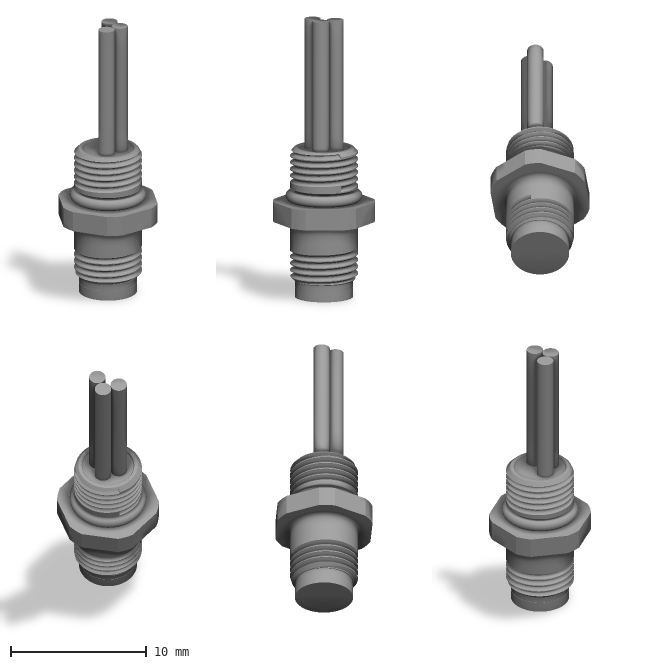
import math

import cadquery as cq

FLANGE_THICKNESS = 1.5
BODY_TOP = 5.53
PLUG_BOTTOM = -5.70
WIRE_TOP = 15.17
THREAD_BOTTOM = -4.45
PLUG_RING_TOP = -4.95
UPPER_THREAD_BOTTOM = 2.52

FLANGE_SIDES = 6
FLANGE_ACROSS_FLATS = 7.0
FLANGE_ROUND_DIAMETER = 7.5
FLANGE_FILLET = 0.25

BODY_RADIUS = 5.0 / 2
PLUG_NECK_RADIUS = 4.25 / 2
PLUG_RING_RADIUS = 4.3 / 2
SEAL_GROOVE_RADIUS = 4.3 / 2
SEAL_GROOVE_FLANK_ANGLE = 30.0

SEAL_SECTION_RADIUS = 0.4
SEAL_OUTER_RADIUS = 5.64 / 2

THREAD_PITCH = 0.5
THREAD_TURNS = 5
THREAD_DEPTH = 0.315
THREAD_ROOT_FLAT = 0.07
THREAD_FLANK_ANGLE = 30.0
THREAD_OVERCUT = 0.1
UPPER_GROOVE_START = 2.815
UPPER_GROOVE_ANGLE = 90.0
LOWER_GROOVE_START = -4.70
LOWER_GROOVE_ANGLE = 142.5

RECESS_TOP_RADIUS = 3.88 / 2
RECESS_FLOOR_RADIUS = 3.75 / 2
RECESS_DEPTH = 0.1

WIRE_DIAMETER = 1.2
WIRE_OFFSET = 0.615
WIRE_ROOT = 0.2
WIRE_CORNERS = [(-1, 1), (1, 1), (1, -1)]


def make_body():
    """Revolved profile: plug end, lower shank, seal groove and upper shank."""
    root_radius = BODY_RADIUS - THREAD_DEPTH
    fillet_radius = BODY_RADIUS + FLANGE_FILLET
    fillet_mid = FLANGE_FILLET * (1 - math.sqrt(0.5))
    flank_drop = (BODY_RADIUS - SEAL_GROOVE_RADIUS) * math.tan(math.radians(SEAL_GROOVE_FLANK_ANGLE))
    recess_floor = BODY_TOP - RECESS_DEPTH
    profile = (
        cq.Workplane("XZ")
        .moveTo(0, PLUG_BOTTOM)
        .lineTo(PLUG_RING_RADIUS, PLUG_BOTTOM)
        .lineTo(PLUG_RING_RADIUS, PLUG_RING_TOP)
        .lineTo(PLUG_NECK_RADIUS, PLUG_RING_TOP)
        .lineTo(PLUG_NECK_RADIUS, THREAD_BOTTOM)
        .lineTo(root_radius, THREAD_BOTTOM)
        .lineTo(BODY_RADIUS, THREAD_BOTTOM + THREAD_DEPTH)
        .lineTo(BODY_RADIUS, -FLANGE_FILLET)
        .threePointArc((BODY_RADIUS + fillet_mid, -fillet_mid), (fillet_radius, 0))
        .lineTo(fillet_radius, FLANGE_THICKNESS)
        .lineTo(SEAL_GROOVE_RADIUS, FLANGE_THICKNESS)
        .lineTo(SEAL_GROOVE_RADIUS, UPPER_THREAD_BOTTOM - flank_drop)
        .lineTo(BODY_RADIUS, UPPER_THREAD_BOTTOM)
        .lineTo(BODY_RADIUS, BODY_TOP - THREAD_DEPTH)
        .lineTo(root_radius, BODY_TOP)
        .lineTo(RECESS_TOP_RADIUS, BODY_TOP)
        .lineTo(RECESS_FLOOR_RADIUS, recess_floor)
        .lineTo(0, recess_floor)
        .close()
    )
    return profile.revolve(360, (0, 0, 0), (0, 1, 0))


def make_flange():
    """Hexagon with flats facing +X and -X, its corners turned down to a circle."""
    half_side_angle = 180 / FLANGE_SIDES
    across_corners = FLANGE_ACROSS_FLATS / math.cos(math.radians(half_side_angle))
    hexagon = (
        cq.Workplane("XY")
        .transformed(rotate=(0, 0, half_side_angle))
        .polygon(FLANGE_SIDES, across_corners)
        .extrude(FLANGE_THICKNESS)
    )
    turned = cq.Workplane("XY").circle(FLANGE_ROUND_DIAMETER / 2).extrude(FLANGE_THICKNESS)
    return hexagon.intersect(turned)


def make_seal_ring():
    """Round-section ring resting on the flange, its inner side flat against the groove floor."""
    centre_radius = SEAL_OUTER_RADIUS - SEAL_SECTION_RADIUS
    centre_height = FLANGE_THICKNESS + SEAL_SECTION_RADIUS
    half_flat = math.sqrt(SEAL_SECTION_RADIUS**2 - (centre_radius - SEAL_GROOVE_RADIUS) ** 2)
    return (
        cq.Workplane("XZ")
        .moveTo(SEAL_GROOVE_RADIUS, centre_height - half_flat)
        .threePointArc(
            (SEAL_OUTER_RADIUS, centre_height),
            (SEAL_GROOVE_RADIUS, centre_height + half_flat),
        )
        .close()
        .revolve(360, (0, 0, 0), (0, 1, 0))
    )


def make_thread_groove(start_height, start_angle):
    """Right-hand helical V groove rising from the given height and angle."""
    root_radius = BODY_RADIUS - THREAD_DEPTH
    outer_radius = BODY_RADIUS + THREAD_OVERCUT
    half_root = THREAD_ROOT_FLAT / 2
    flank_rise = (outer_radius - root_radius) * math.tan(math.radians(THREAD_FLANK_ANGLE))
    half_mouth = half_root + flank_rise
    helix = cq.Wire.makeHelix(THREAD_PITCH, THREAD_PITCH * THREAD_TURNS, root_radius)
    groove = (
        cq.Workplane("XZ")
        .moveTo(root_radius, -half_root)
        .lineTo(outer_radius, -half_mouth)
        .lineTo(outer_radius, half_mouth)
        .lineTo(root_radius, half_root)
        .close()
        .sweep(cq.Workplane(obj=helix), isFrenet=True)
    )
    return groove.rotate((0, 0, 0), (0, 0, 1), start_angle).translate((0, 0, start_height))


def make_wires():
    """Parallel wires, rooted a little below the recess floor so that they join the body."""
    root_height = BODY_TOP - RECESS_DEPTH - WIRE_ROOT
    centres = [(x * WIRE_OFFSET, y * WIRE_OFFSET) for x, y in WIRE_CORNERS]
    return (
        cq.Workplane("XY", origin=(0, 0, root_height))
        .pushPoints(centres)
        .circle(WIRE_DIAMETER / 2)
        .extrude(WIRE_TOP - root_height)
    )


result = make_body()
result = result.cut(make_thread_groove(LOWER_GROOVE_START, LOWER_GROOVE_ANGLE))
result = result.cut(make_thread_groove(UPPER_GROOVE_START, UPPER_GROOVE_ANGLE))
result = result.union(make_flange())
result = result.union(make_seal_ring())
result = result.union(make_wires())